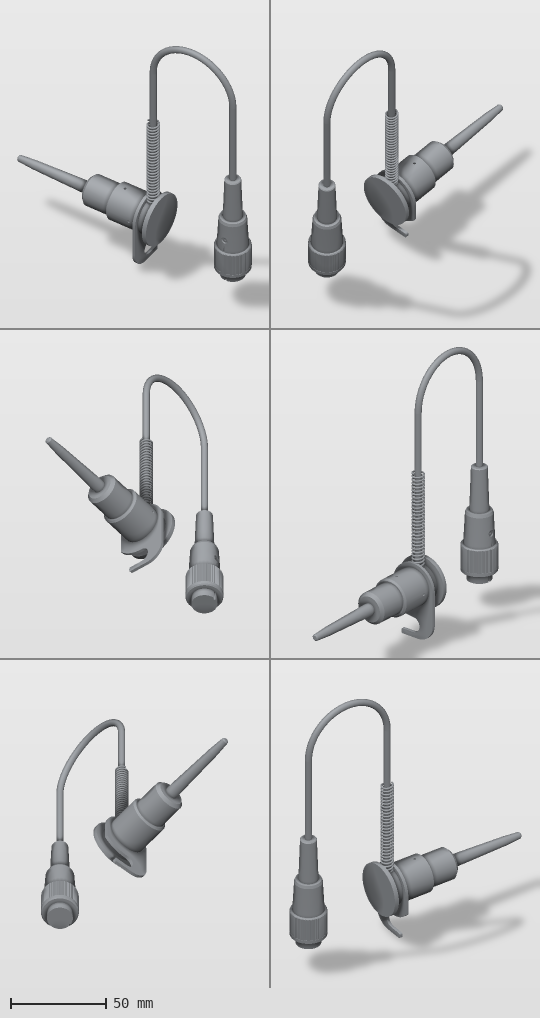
import cadquery as cq
import math


tip_face_d = 2.5
tip_d = 3.8
tip_chamfer = 0.6
nose_end_x = 10.2
nose_end_d = 5.2
taper_end_x = 42.5
stem_d = 7.0
front_face_x = 44.7
front_d = 18.0
front_chamfer = 1.7
step_x = 61.5
barrel_d = 21.5
barrel_chamfer = 1.0
flange_front_x = 87.5
flange_t = 2.5
flange_d = 30.0
pin_hole_d = 1.48
pin_hole_depth = 1.3
side_hole_x = 76.5
top_hole_x = 67.0

clip_x = 80.5
clip_t = 1.7
clip_r = 13.5
clip_lower_r = 17.8
clip_bottom_z = -29.5
throat_r = 4.4
heel_r = 10.2
finger_tip_y = 8.0
finger_round = 1.0

cable_d = 3.8
cable_x = 84.7
cable_top_z = 126.8
spring_d = 7.2
spring_wire_d = 1.0
spring_pitch = 1.99
spring_top_z = 65.5
seat_z = 10.0

overall_length = 144.7
collar_d = 19.9
connector_x = overall_length - collar_d / 2
boot_top_z = 50.0
boot_top_d = 8.9
boot_chamfer = 0.5
boot_bottom_d = 10.6
shoulder_z = 24.5
shoulder_d = 13.9
shoulder_edge_z = 23.0
shoulder_edge_d = 15.2
body_bottom_d = 17.0
cable_socket_depth = 7.8
collar_top_z = 5.3
knurl_bottom_z = -8.3
collar_bottom_z = -10.8
collar_chamfer = 0.6
plug_bottom_z = -15.6
plug_d = 13.6
key_w = 1.0
key_depth = 0.8
screw_z = 13.1
screw_recess_d = 3.8
screw_recess_depth = 0.8
screw_hole_d = 1.5
screw_hole_depth = 1.5
mark_top_z = 9.5
mark_w = 1.0
mark_depth = 0.5
flute_count = 80
flute_depth = 0.3


def cylinder(diameter, height, base, direction):
    """A cylinder that starts at the base point and runs along the direction."""
    return cq.Workplane(obj=cq.Solid.makeCylinder(diameter / 2, height, cq.Vector(*base), cq.Vector(*direction)))


def make_spring_seat():
    """The upright round pocket, open at the top, that the spring and the cable stand in."""
    return cylinder(spring_d, flange_d / 2, (cable_x, 0, seat_z), (0, 0, 1))


def make_housing():
    """Probe, stepped barrel and end flange, turned about X, with two pin holes and the spring seat."""
    flange_back_x = flange_front_x + flange_t
    profile = [
        (0, 0),
        (0, tip_face_d / 2),
        (tip_chamfer, tip_d / 2),
        (nose_end_x, nose_end_d / 2),
        (taper_end_x, stem_d / 2),
        (front_face_x, stem_d / 2),
        (front_face_x, front_d / 2 - front_chamfer),
        (front_face_x + front_chamfer, front_d / 2),
        (step_x, front_d / 2),
        (step_x, barrel_d / 2 - barrel_chamfer),
        (step_x + barrel_chamfer, barrel_d / 2),
        (flange_front_x, barrel_d / 2),
        (flange_front_x, flange_d / 2),
        (flange_back_x, flange_d / 2),
        (flange_back_x, 0),
    ]
    housing = cq.Workplane("XY").polyline(profile).close().revolve(360, (0, 0, 0), (1, 0, 0))
    side_hole = cylinder(pin_hole_d, pin_hole_depth, (side_hole_x, -barrel_d / 2, 0), (0, 1, 0))
    top_hole = cylinder(pin_hole_d, pin_hole_depth, (top_hole_x, 0, barrel_d / 2), (0, 0, -1))
    return housing.cut(side_hole).cut(top_hole).cut(make_spring_seat())


def make_clip():
    """Flat plate with a round top, a barrel bore and a hook that opens toward +Y."""
    side_end_z = -math.sqrt(clip_lower_r**2 - clip_r**2)
    throat_z = -clip_lower_r - throat_r
    finger_top_z = throat_z - throat_r
    heel_y = -clip_r + heel_r
    heel_z = clip_bottom_z + heel_r
    heel_mid = heel_r / math.sqrt(2)
    lower_angle = (math.atan2(side_end_z, clip_r) - math.pi / 2) / 2
    lower_mid = (clip_lower_r * math.cos(lower_angle), clip_lower_r * math.sin(lower_angle))
    plate = (
        cq.Workplane("YZ", origin=(clip_x, 0, 0))
        .moveTo(-clip_r, 0)
        .threePointArc((0, clip_r), (clip_r, 0))
        .lineTo(clip_r, side_end_z)
        .threePointArc(lower_mid, (0, -clip_lower_r))
        .threePointArc((-throat_r, throat_z), (0, finger_top_z))
        .lineTo(finger_tip_y, finger_top_z)
        .lineTo(finger_tip_y, clip_bottom_z)
        .lineTo(heel_y, clip_bottom_z)
        .threePointArc((heel_y - heel_mid, heel_z - heel_mid), (-clip_r, heel_z))
        .close()
        .extrude(clip_t)
    )
    finger_tip = cq.selectors.BoxSelector(
        (clip_x, finger_tip_y - finger_round, clip_bottom_z - finger_round),
        (clip_x + clip_t, finger_tip_y + finger_round, finger_top_z + finger_round),
    )
    plate = plate.edges("|X").edges(finger_tip).fillet(finger_round)
    bore = cylinder(barrel_d, clip_t, (clip_x, 0, 0), (1, 0, 0))
    return plate.cut(bore).cut(make_spring_seat())


def make_cable():
    """Round cable: up from the spring seat, over a half circle and down into the connector."""
    bend_r = (connector_x - cable_x) / 2
    bend_z = cable_top_z - cable_d / 2 - bend_r
    path = (
        cq.Workplane("XZ")
        .moveTo(cable_x, seat_z)
        .lineTo(cable_x, bend_z)
        .threePointArc((cable_x + bend_r, bend_z + bend_r), (connector_x, bend_z))
        .lineTo(connector_x, boot_top_z - cable_socket_depth)
    )
    return cq.Workplane("XY", origin=(cable_x, 0, seat_z)).circle(cable_d / 2).sweep(path)


def make_spring():
    """Right-handed coil spring of round wire around the cable, ending on its -X side."""
    coil_r = (spring_d - spring_wire_d) / 2
    start_z = seat_z + spring_wire_d / 2
    height = spring_top_z - spring_wire_d / 2 - start_z
    end_angle = 360 * height / spring_pitch
    helix = cq.Workplane(obj=cq.Wire.makeHelix(spring_pitch, height, coil_r))
    spring = cq.Workplane("XZ", origin=(coil_r, 0, 0)).circle(spring_wire_d / 2).sweep(helix, isFrenet=True)
    return spring.rotate((0, 0, 0), (0, 0, 1), 180 - end_angle).translate((cable_x, 0, start_z))


def make_connector():
    """Tapered boot, shoulder, body and plug in one piece, turned about the connector axis."""
    profile = [
        (0, boot_top_z),
        (boot_top_d / 2 - boot_chamfer, boot_top_z),
        (boot_top_d / 2, boot_top_z - boot_chamfer),
        (boot_bottom_d / 2, shoulder_z),
        (shoulder_d / 2, shoulder_z),
        (shoulder_edge_d / 2, shoulder_edge_z),
        (body_bottom_d / 2, collar_top_z),
        (plug_d / 2, collar_top_z),
        (plug_d / 2, plug_bottom_z),
        (0, plug_bottom_z),
    ]
    body = cq.Workplane("XZ").polyline(profile).close().revolve(360, (0, 0, 0), (0, 1, 0))

    socket = cylinder(cable_d, cable_socket_depth, (0, 0, boot_top_z), (0, 0, -1))

    slope = (body_bottom_d - shoulder_edge_d) / 2 / (shoulder_edge_z - collar_top_z)
    screw_y = -body_bottom_d / 2 + slope * (screw_z - collar_top_z)
    recess = cylinder(screw_recess_d, 2 * screw_recess_depth, (0, screw_y - screw_recess_depth, screw_z), (0, 1, 0))
    hole = cylinder(screw_hole_d, screw_hole_depth, (0, screw_y + screw_recess_depth, screw_z), (0, 1, 0))

    mark = cq.Workplane("XY", origin=(0, -body_bottom_d / 2, collar_top_z)).rect(mark_w, 2 * mark_depth)
    mark = mark.extrude(mark_top_z - collar_top_z)
    keyway = cq.Workplane("XY", origin=(0, -plug_d / 2, plug_bottom_z)).rect(key_w, 2 * key_depth)
    keyway = keyway.extrude(collar_bottom_z - plug_bottom_z)

    for cutter in (socket, recess, hole, mark, keyway):
        body = body.cut(cutter)
    return body.translate((connector_x, 0, 0))


def make_collar():
    """Coupling ring around the plug: straight flutes above a plain chamfered rim."""
    crest_r = collar_d / 2
    height = collar_top_z - collar_bottom_z
    blank = cylinder(collar_d, height, (0, 0, collar_bottom_z), (0, 0, 1))
    blank = blank.faces("<Z or >Z").chamfer(collar_chamfer)
    rim = blank.intersect(cylinder(collar_d, knurl_bottom_z - collar_bottom_z, (0, 0, collar_bottom_z), (0, 0, 1)))

    outline = []
    flute_angle = 2 * math.pi / flute_count
    for i in range(flute_count):
        crest = -math.pi / 2 + (i + 0.5) * flute_angle
        valley = crest + flute_angle / 2
        outline.append((crest_r * math.cos(crest), crest_r * math.sin(crest)))
        if i < flute_count - 1:
            valley_r = crest_r - flute_depth
            outline.append((valley_r * math.cos(valley), valley_r * math.sin(valley)))
    knurl = cq.Workplane("XY", origin=(0, 0, knurl_bottom_z)).polyline(outline).close()
    knurl = knurl.extrude(collar_top_z - knurl_bottom_z).intersect(blank)

    bore = cylinder(plug_d, height, (0, 0, collar_bottom_z), (0, 0, 1))
    return rim.union(knurl).cut(bore).translate((connector_x, 0, 0))


housing = make_housing()
clip = make_clip()
cable = make_cable()
spring = make_spring()
connector = make_connector()
collar = make_collar()

result = cq.Compound.makeCompound([
    housing.val(),
    clip.val(),
    cable.val(),
    spring.val(),
    connector.val(),
    collar.val(),
])